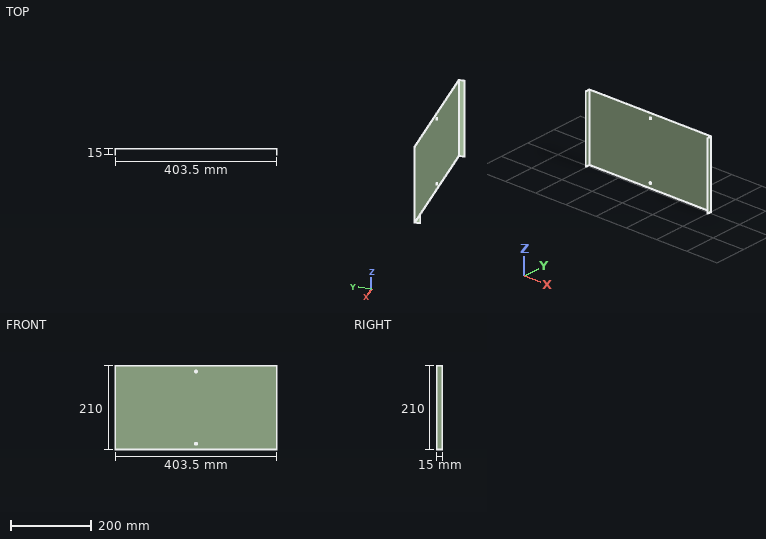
import cadquery as cq

length = 403.5
depth = 15.0
height = 210.0

thickness = 0.9

hole_diameter = 5.0
hole_edge_distance = 15.0

panel = cq.Workplane("XY").box(length, depth, height)

cavity = (
    cq.Workplane("XY")
    .box(length - 2 * thickness, depth, height)
    .translate((0, -thickness, 0))
)
panel = panel.cut(cavity)

hole_height = height / 2 - hole_edge_distance
holes = (
    cq.Workplane("XZ")
    .pushPoints([(0, hole_height), (0, -hole_height)])
    .circle(hole_diameter / 2)
    .extrude(depth, both=True)
)

result = panel.cut(holes)